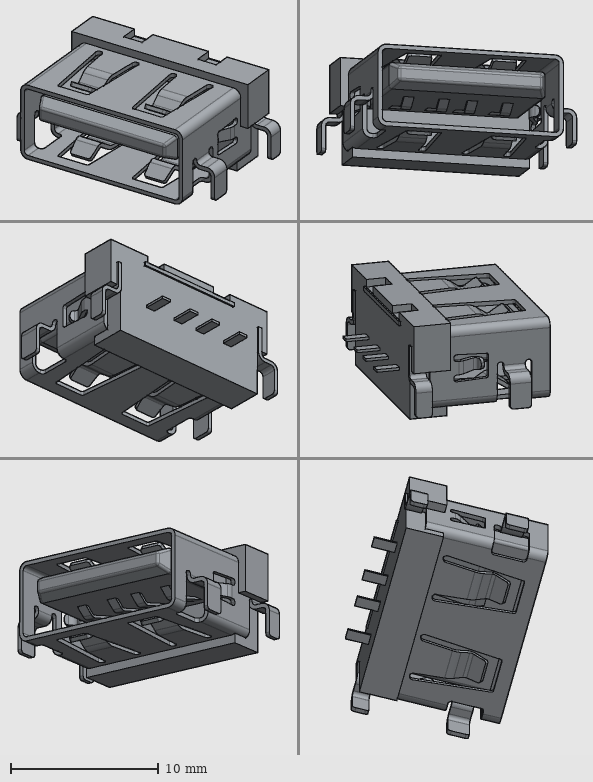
import cadquery as cq
import math

sheet = 0.3
bend_inside = 0.3
bend_outside = bend_inside + sheet
shell_width = 13.1
shell_height = 5.7
half_width = shell_width / 2
half_height = shell_height / 2
shell_rear = 10.0
floor_rear = 8.55
rear_tongue_width = 8.1
rear_leg_top = 1.84

spring_pitch = 6.0
wall_spring = dict(
    window_front=1.02,
    window_rear=6.82,
    window_half=1.75,
    window_round=0.16,
    slot=0.5,
    slot_round=0.24,
    taper=5.0,
    bend=4.2,
    bend_inside=0.8,
    dip_angle=34.0,
    low=3.1,
    low_inside=0.24,
    rise_angle=34.0,
    tip=1.98,
    tip_round=0.2,
)

side_spring_z = -0.03
side_spring = dict(
    window_front=4.4,
    window_rear=6.85,
    window_half=0.98,
    window_round=0.16,
    slot=0.48,
    slot_round=0.2,
    taper=2.5,
    bend=6.35,
    bend_inside=0.43,
    dip_angle=30.0,
    low=5.02,
    low_inside=0.22,
    rise_angle=62.0,
    tip=4.7,
    tip_round=0.3,
)

leg_span = 16.0
front_leg = (1.78, 3.3)
rear_leg = (8.83, shell_rear)
front_leg_slot = 0.48
leg_opening_reach = 0.96
leg_bend_z = -0.13
leg_tip_round = 0.24

block_width = 14.25
block_top = 3.42
block_bottom = 0.06
housing_bottom = -3.45
housing_front = 7.26
housing_rear = 9.89
notch_width = 1.49
notch_depth = 1.36
notch_skin = 0.03

tongue_width = 11.04
tongue_top = 1.8
tongue_bottom = -0.03
tongue_tip = 0.02
tip_chamfer_side = 0.45
tip_chamfer_length = 0.95
tongue_round = 0.22

contact_places = (-3.5, -1.0, 1.0, 3.5)
contact_width = 0.7
contact_thickness = 0.2
tail_end = 11.5
tail_bottom = -0.69
contact_low = (3.84, -0.62)
contact_rear_z = 0.24
contact_front = (2.82, 0.2)
contact_bend_inside = 0.3


def box(x_range, y_range, z_range):
    """Block between the given limits."""
    sizes = [high - low for low, high in (x_range, y_range, z_range)]
    return cq.Workplane("XY").box(*sizes, centered=False).translate((x_range[0], y_range[0], z_range[0]))


def both_sides(body):
    """The body together with its mirror image across X = 0."""
    return body.union(body.mirror("YZ"))


def bent_strip(plane, path, thickness, inside_radii, width):
    """Bent sheet of the given width, centred on the plane, that follows a centreline of points."""
    points = [cq.Vector(*point) for point in path]
    directions = [(b - a).normalized() for a, b in zip(points, points[1:])]
    normals = [cq.Vector(-d.y, d.x) for d in directions]

    def face_line(offset):
        """Points of one face: its two ends, and the start and end of every bend arc."""
        line = [points[0] + normals[0] * offset]
        for i in range(1, len(points) - 1):
            before = directions[i - 1]
            after = directions[i]
            on_inside = before.cross(after).z * offset > 0
            radius = inside_radii[i - 1] if on_inside else inside_radii[i - 1] + thickness
            corner = points[i] + (normals[i - 1] + normals[i]) * (offset / (1 + before.dot(after)))
            reach = radius * math.tan(before.getAngle(after) / 2)
            line.append(corner - before * reach)
            line.append(corner + after * reach)
        line.append(points[-1] + normals[-1] * offset)
        return line

    def draw_face(outline, line):
        """Straight stretches joined by tangent arcs, from the second point of the face on."""
        for i in range(1, len(line) - 1, 2):
            outline = outline.lineTo(line[i].x, line[i].y)
            outline = outline.tangentArcPoint((line[i + 1].x, line[i + 1].y), relative=False)
        return outline.lineTo(line[-1].x, line[-1].y)

    first_face = face_line(thickness / 2)
    second_face = face_line(-thickness / 2)[::-1]
    outline = cq.Workplane(plane).moveTo(first_face[0].x, first_face[0].y)
    outline = draw_face(outline, first_face)
    outline = outline.lineTo(second_face[0].x, second_face[0].y)
    outline = draw_face(outline, second_face).close()
    return outline.extrude(width / 2, both=True)


def tapered_half(spring, y, inset):
    """Half width at Y of the spring window, less an inset that leaves the spring itself."""
    lean = math.tan(math.radians(spring["taper"]))
    return spring["window_half"] - (spring["window_rear"] - y) * lean - inset


def spring_window(spring, wall_middle):
    """U-shaped cutter through a wall at the given height, which makes room for a spring up to its root."""
    front = spring["window_front"]
    rear = spring["window_rear"]
    slot = spring["slot"]
    root = (rear + spring["bend"]) / 2
    right_side = [
        (tapered_half(spring, front, 0), front),
        (tapered_half(spring, rear, 0), rear),
        (tapered_half(spring, rear, slot), rear),
        (tapered_half(spring, root, slot), root),
    ]
    left_side = [(-x, y) for x, y in reversed(right_side)]
    window = cq.Workplane("XY").polyline(right_side + left_side).close().extrude(sheet, both=True)
    window = window.edges("|Z and >Y").fillet(spring["slot_round"])
    window = window.edges("|Z and <Y").fillet(spring["window_round"])
    return window.translate((0, 0, wall_middle))


def spring_strip(spring, wall_middle):
    """Spring that dips from a wall at the given height and rises again at its tip."""
    bend = spring["bend"]
    low = spring["low"]
    tip = spring["tip"]
    rear = spring["window_rear"]
    low_height = wall_middle - (bend - low) * math.tan(math.radians(spring["dip_angle"]))
    tip_height = low_height + (low - tip) * math.tan(math.radians(spring["rise_angle"]))
    path = [(rear, wall_middle), (bend, wall_middle), (low, low_height), (tip, tip_height)]
    widest = 2 * spring["window_half"]
    strip = bent_strip("YZ", path, sheet, [spring["bend_inside"], spring["low_inside"]], widest)

    front = tip - sheet
    front_half = tapered_half(spring, front, spring["slot"])
    rear_half = tapered_half(spring, rear, spring["slot"])
    plan = (
        cq.Workplane("XY")
        .polyline([(-front_half, front), (front_half, front), (rear_half, rear), (-rear_half, rear)])
        .close()
        .extrude(2 * wall_middle)
    )
    margin = sheet / 10
    tip_corners = cq.selectors.BoxSelector(
        (-widest, tip - margin, tip_height - margin),
        (widest, tip + margin, tip_height + margin),
    )
    return strip.intersect(plan).edges(tip_corners).fillet(spring["tip_round"])


def on_top_and_bottom(body):
    """Four copies of a body from the top wall: two abreast, mirrored to the bottom wall."""
    pair = both_sides(body.translate((spring_pitch / 2, 0, 0)))
    return pair.union(pair.mirror("XY"))


def on_side_walls(body):
    """Two copies of a body built in a level wall, turned into the upright side walls."""
    upright = body.rotate((0, 0, 0), (0, 1, 0), 90)
    return both_sides(upright.translate((0, 0, side_spring_z)))


def leg_opening(y_range):
    """Cutter through the right side wall and the floor corner, up to where a leg bends out."""
    return box((half_width - leg_opening_reach, half_width), y_range, (-half_height, leg_bend_z))


def slot_end(y_range):
    """Cutter for the rounded upper end of a slot in the right side wall."""
    radius = (y_range[1] - y_range[0]) / 2
    return cq.Workplane("YZ").center(sum(y_range) / 2, leg_bend_z).circle(radius).extrude(half_width)


def leg(y_range):
    """Right-hand leg that bends out from the side wall and down to the shell floor level."""
    wall_x = half_width - sheet / 2
    leg_x = leg_span / 2 - sheet / 2
    shelf_z = leg_bend_z - bend_inside - sheet / 2
    path = [(wall_x, leg_bend_z + sheet), (wall_x, shelf_z), (leg_x, shelf_z), (leg_x, -half_height)]
    strip = bent_strip("XZ", path, sheet, [bend_inside, bend_inside], y_range[1] - y_range[0])
    strip = strip.edges("|X and <Z").fillet(leg_tip_round)
    return strip.translate((0, sum(y_range) / 2, 0))


def sleeve():
    """Folded sleeve with its stepped rear end."""
    outside = cq.Workplane("XZ").rect(shell_width, shell_height).extrude(-shell_rear)
    outside = outside.edges("|Y").fillet(bend_outside)
    inside = cq.Workplane("XZ").rect(shell_width - 2 * sheet, shell_height - 2 * sheet).extrude(-shell_rear)
    inside = inside.edges("|Y").fillet(bend_inside)
    flat_half = half_width - bend_outside
    rear_floor = box((-flat_half, flat_half), (floor_rear, shell_rear), (-half_height, sheet - half_height))
    rear_corner = box(
        (rear_tongue_width / 2, half_width),
        (floor_rear, shell_rear),
        (rear_leg_top, half_height),
    )
    return outside.cut(inside).cut(rear_floor).cut(both_sides(rear_corner))


def make_shell():
    """Sleeve with legs bent out of its side walls and springs bent out of all four walls."""
    front_start, front_end = front_leg
    front_slot = (front_start - front_leg_slot, front_start)
    back_slot = (front_end, front_end + front_leg_slot)
    rear_slot = (floor_rear, rear_leg[0])
    openings = leg_opening((front_slot[0], back_slot[1])).edges("|Z and <X").fillet(front_leg_slot / 2)
    openings = openings.union(leg_opening((floor_rear, shell_rear)))
    for slot in (front_slot, back_slot, rear_slot):
        openings = openings.union(slot_end(slot))
    shell = sleeve().cut(both_sides(openings))
    for y_range in (front_leg, rear_leg):
        shell = shell.union(both_sides(leg(y_range)))

    top_middle = half_height - sheet / 2
    side_middle = half_width - sheet / 2
    shell = shell.cut(on_top_and_bottom(spring_window(wall_spring, top_middle)))
    shell = shell.cut(on_side_walls(spring_window(side_spring, side_middle)))
    shell = shell.union(on_top_and_bottom(spring_strip(wall_spring, top_middle)))
    return shell.union(on_side_walls(spring_strip(side_spring, side_middle)))


def tongue():
    """Tongue in the shell mouth, with a chamfered and rounded tip."""
    height = tongue_top - tongue_bottom
    middle = (tongue_top + tongue_bottom) / 2
    body = cq.Workplane("XZ").rect(tongue_width, height).extrude(tongue_tip - housing_front)
    body = body.faces("<Y").chamfer(tip_chamfer_length, tip_chamfer_side)
    body = body.edges("<Y or (not (|X or |Z))").fillet(tongue_round)
    return body.translate((0, tongue_tip, middle))


def contact(x):
    """Contact with a straight tail at the rear and a bowed spring under the tongue."""
    rear = (housing_front + contact_thickness, contact_rear_z)
    spring = bent_strip(
        "YZ", [rear, contact_low, contact_front], contact_thickness, [contact_bend_inside], contact_width
    )
    tail = box(
        (-contact_width / 2, contact_width / 2),
        (housing_rear, tail_end),
        (tail_bottom, tail_bottom + contact_thickness),
    )
    return [spring.translate((x, 0, 0)), tail.translate((x, 0, 0))]


def make_housing(shell):
    """Insulator block behind and around the shell, with the tongue and the contacts."""
    y_range = (housing_front, housing_rear)
    core_half = half_width - sheet
    housing = box((-block_width / 2, block_width / 2), y_range, (block_bottom, block_top))
    housing = housing.union(box((-core_half, core_half), y_range, (housing_bottom, block_bottom)))
    notch = box(
        (-notch_width / 2, notch_width / 2),
        (housing_rear - notch_depth, housing_rear),
        (half_height + notch_skin, block_top),
    )
    housing = housing.cut(both_sides(notch.translate((spring_pitch / 2, 0, 0))))
    housing = housing.cut(shell).union(tongue())
    for x in contact_places:
        for piece in contact(x):
            housing = housing.union(piece)
    return housing


shell = make_shell()
housing = make_housing(shell)
result = cq.Compound.makeCompound([shell.val(), housing.val()])